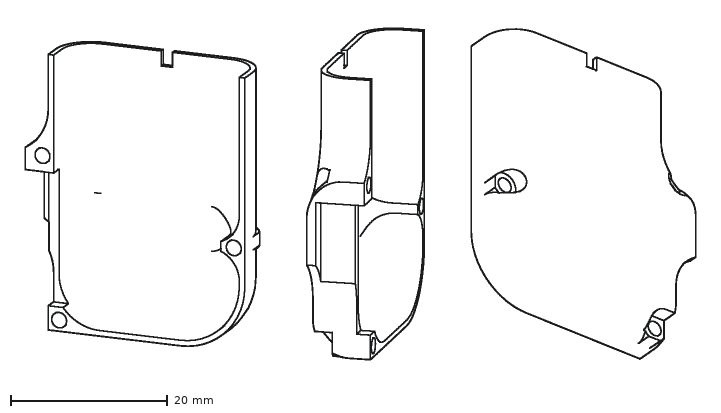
import cadquery as cq
import math


body_width = 27.18
body_depth = 7.62
body_height = 36.88
wall = 0.762
outer_fillet = 4.76
inner_fillet = outer_fillet - wall
right_corner_radius = 8.89
left_cavity_corner_radius = 6.35
clearance = 1.0

tab_reach = 3.17
tab_sweep_radius = 6.35
tab_sweep_angle = math.acos(1 - tab_reach / tab_sweep_radius)
tab_sweep_height = tab_sweep_radius * math.sin(tab_sweep_angle)
tab_root_bottom = 7.29
tab_root_top = 29.56

recess_bottom = 3.26
recess_top = 21.1
wall_recess_depth = 1.82
tab_recess_depth = 6.4
tab_recess_side = -0.65

divider_z = 13.97
cavity_floor = body_depth - wall
opening_step = 0.254
opening_right = 23.88
cavity_left = wall
cavity_right = body_width - wall

hole_diameter = 2.06
seat_radius = 1.76
seat_y = 5.08
tab_hole = (-0.78, 23.25)
corner_hole = (1.52, 1.5)
right_hole = (25.66, divider_z)

notch_width = 1.56
notch_depth = 2.0


def block(x_range, y_range, z_range):
    """Box given by its start and end along each axis."""
    starts, ends = zip(x_range, y_range, z_range)
    lengths = [end - start for start, end in zip(starts, ends)]
    return cq.Workplane("XY").box(*lengths, centered=False).translate(starts)


def rod(center, radius, y_start, y_end):
    """Cylinder along Y around an (X, Z) center."""
    axis_start = cq.Vector(center[0], y_start, center[1])
    return cq.Workplane(cq.Solid.makeCylinder(radius, y_end - y_start, axis_start, cq.Vector(0, 1, 0)))


def body_blank():
    """Solid outline of body and tab, still with square back edges."""
    arc_x = -tab_sweep_radius * (1 - math.cos(tab_sweep_angle / 2))
    arc_rise = tab_sweep_radius * math.sin(tab_sweep_angle / 2)
    corner_inset = right_corner_radius * (1 - math.sqrt(0.5))
    return (
        cq.Workplane("XZ")
        .moveTo(0, 0)
        .lineTo(body_width - right_corner_radius, 0)
        .threePointArc((body_width - corner_inset, corner_inset), (body_width, right_corner_radius))
        .lineTo(body_width, body_height)
        .lineTo(0, body_height)
        .lineTo(0, tab_root_top)
        .threePointArc((arc_x, tab_root_top - arc_rise), (-tab_reach, tab_root_top - tab_sweep_height))
        .lineTo(-tab_reach, tab_root_bottom + tab_sweep_height)
        .threePointArc((arc_x, tab_root_bottom + arc_rise), (0, tab_root_bottom))
        .close()
        .extrude(-body_depth)
    )


def round_back(blank):
    """Round the back edges, except around the lower half of the tab."""
    upper_left = cq.selectors.NearestToPointSelector((0, body_depth, (tab_root_top + body_height) / 2))
    bottom = cq.selectors.NearestToPointSelector((body_width / 2, body_depth, 0))
    return blank.edges(upper_left + bottom).fillet(outer_fillet)


def lower_cavity():
    cavity = block(
        (cavity_left, cavity_right), (-clearance, cavity_floor), (wall, divider_z - wall / 2)
    )
    cavity = cavity.edges("|Y and <X and <Z").fillet(left_cavity_corner_radius)
    cavity = cavity.edges("|Y and >X and <Z").fillet(right_corner_radius - wall)
    return cavity.edges(">Y or (|Y and >Z)").fillet(inner_fillet)


def upper_cavity():
    cavity = block(
        (cavity_left, cavity_right),
        (-clearance, cavity_floor),
        (divider_z + wall / 2, body_height + clearance),
    )
    return cavity.edges("(>Y and (not >Z)) or (|Y and <Z)").fillet(inner_fillet)


def divider_opening():
    """Passage through the divider, with a slightly raised floor."""
    half_height = wall / 2 + inner_fillet
    passage = block(
        (cavity_left, opening_right),
        (-clearance, cavity_floor - opening_step),
        (divider_z - half_height, divider_z + half_height),
    )
    return passage.edges("|Z and >Y").fillet(inner_fillet)


def corner_seat():
    """Seat open to the left and below, rounded around the corner hole."""
    seat = block(
        (-clearance, corner_hole[0] + seat_radius),
        (seat_y, body_depth + clearance),
        (-clearance, corner_hole[1] + seat_radius),
    )
    return seat.edges("|Y and >X and >Z").fillet(seat_radius)


blank = body_blank()
shell = round_back(blank)
for center in (corner_hole, right_hole):
    shell = shell.union(rod(center, seat_radius, 0, seat_y).intersect(blank))

for cavity in (lower_cavity(), upper_cavity(), divider_opening()):
    shell = shell.cut(cavity)

recess_z = (recess_bottom, recess_top)
tab_outside = -tab_reach - clearance
shell = shell.cut(block((tab_outside, cavity_left + inner_fillet), (-clearance, wall_recess_depth), recess_z))
shell = shell.cut(block((tab_outside, tab_recess_side), (-clearance, tab_recess_depth), recess_z))

shell = shell.cut(corner_seat())
for center in (tab_hole, right_hole):
    shell = shell.cut(rod(center, seat_radius, seat_y, body_depth + clearance))
for center in (tab_hole, corner_hole, right_hole):
    shell = shell.cut(rod(center, hole_diameter / 2, -clearance, body_depth + clearance))

notch_left = (body_width - notch_width) / 2
notch = block(
    (notch_left, notch_left + notch_width),
    (cavity_floor - clearance, body_depth + clearance),
    (body_height - notch_depth, body_height + clearance),
)
result = shell.cut(notch)